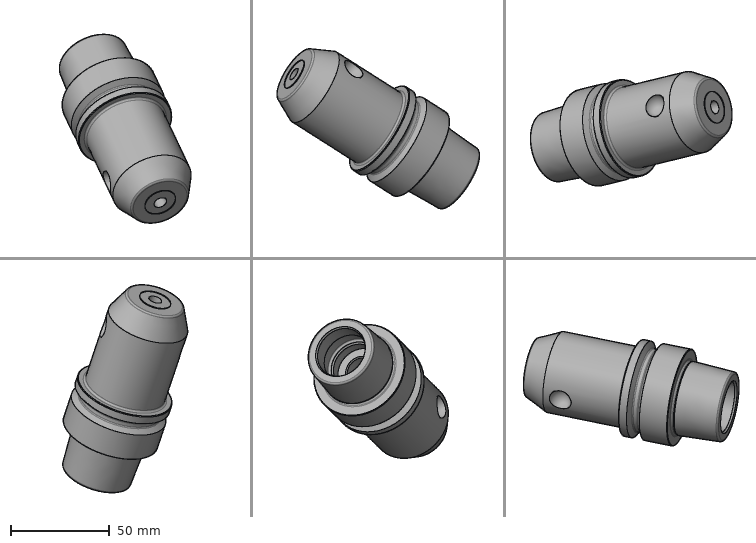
import cadquery as cq
import math

TOTAL_LENGTH = 104.9
FRONT_FACE_X = 104.5

TAPER_START_RADIUS = 18.0
TAPER_END_RADIUS = 19.2
TAPER_END_X = 22.9
TAPER_RIM_FILLET = 1.0
NECK_RADIUS = 18.7
NECK_START_X = 23.5
NECK_FILLET = 0.7
RELIEF_RADIUS = 20.1
RELIEF_DEPTH = 0.1

FLANGE_RADIUS = 50.0 / 2
FLANGE_START_X = 24.8
FLANGE_END_X = 50.8
FLANGE_START_CHAMFER = 0.3
FLANGE_END_CHAMFER = 0.4

GROOVE_FLOOR_RADIUS = 21.5
GROOVE_START_X = 39.5
GROOVE_END_X = 46.4
GROOVE_WALL_ANGLE = math.radians(60)
GROOVE_WALL_RUN = (FLANGE_RADIUS - GROOVE_FLOOR_RADIUS) / math.tan(GROOVE_WALL_ANGLE)
GROOVE_FLOOR_START_X = GROOVE_START_X + GROOVE_WALL_RUN
GROOVE_FLOOR_END_X = GROOVE_END_X - GROOVE_WALL_RUN
GROOVE_FILLET = 0.7

SHANK_RADIUS = 21.0
SHANK_FILLET = 1.0
NOSE_START_X = 92.1
NOSE_END_RADIUS = 15.2
NOSE_FILLET = 1.3

BORE_RADIUS = 13.0
BORE_END_X = 9.9
MOUTH_CHAMFER_LENGTH = 1.0
MOUTH_CHAMFER_WIDTH = 0.6
UNDERCUT_RADIUS = 14.5
UNDERCUT_END_X = 19.5
UNDERCUT_FILLET = 1.0

SEAT_RADIUS = 12.3
SEAT_CHAMFER = 0.8
SEAT_END_X = 26.2
TUBE_BORE_RADIUS = 7.5
TUBE_BORE_CHAMFER = 0.6
TUBE_BORE_END_X = 36.7
COOLANT_HOLE_RADIUS = 3.4

INSERT_RADIUS = 8.2
INSERT_START_X = 56.9

RECESS_X = 82.9
RECESS_RADIUS = 5.8

EDGE_SEARCH = 0.05


def revolve_about_x(profile):
    return profile.close().revolve(360, (0, 0, 0), (1, 0, 0))


def circle_edge(body, x, radius):
    """Select the largest circular edge at x that is no larger than the given radius."""
    reach = radius + EDGE_SEARCH
    zone = cq.selectors.BoxSelector(
        (x - EDGE_SEARCH, -reach, -reach),
        (x + EDGE_SEARCH, reach, reach),
        boundingbox=True,
    )
    return body.edges(zone).edges(cq.selectors.RadiusNthSelector(-1))


def make_outer_blank():
    return revolve_about_x(
        cq.Workplane("XZ")
        .moveTo(0, 0)
        .lineTo(0, TAPER_START_RADIUS)
        .lineTo(TAPER_END_X, TAPER_END_RADIUS)
        .lineTo(NECK_START_X, NECK_RADIUS)
        .lineTo(FLANGE_START_X + RELIEF_DEPTH, NECK_RADIUS)
        .lineTo(FLANGE_START_X, RELIEF_RADIUS)
        .lineTo(FLANGE_START_X, FLANGE_RADIUS)
        .lineTo(GROOVE_START_X, FLANGE_RADIUS)
        .lineTo(GROOVE_FLOOR_START_X, GROOVE_FLOOR_RADIUS)
        .lineTo(GROOVE_FLOOR_END_X, GROOVE_FLOOR_RADIUS)
        .lineTo(GROOVE_END_X, FLANGE_RADIUS)
        .lineTo(FLANGE_END_X, FLANGE_RADIUS)
        .lineTo(FLANGE_END_X, SHANK_RADIUS)
        .lineTo(NOSE_START_X, SHANK_RADIUS)
        .lineTo(FRONT_FACE_X, NOSE_END_RADIUS)
        .lineTo(FRONT_FACE_X, 0)
    )


def dress_edges(body):
    body = circle_edge(body, 0, TAPER_START_RADIUS).fillet(TAPER_RIM_FILLET)
    body = circle_edge(body, FLANGE_START_X + RELIEF_DEPTH, NECK_RADIUS).fillet(NECK_FILLET)
    body = circle_edge(body, FLANGE_START_X, FLANGE_RADIUS).chamfer(FLANGE_START_CHAMFER)
    for x in (GROOVE_FLOOR_START_X, GROOVE_FLOOR_END_X):
        body = circle_edge(body, x, GROOVE_FLOOR_RADIUS).fillet(GROOVE_FILLET)
    body = circle_edge(body, FLANGE_END_X, FLANGE_RADIUS).chamfer(FLANGE_END_CHAMFER)
    body = circle_edge(body, FLANGE_END_X, SHANK_RADIUS).fillet(SHANK_FILLET)
    return circle_edge(body, FRONT_FACE_X, NOSE_END_RADIUS).fillet(NOSE_FILLET)


def make_cavity():
    """The connected bores that run through the holder from the mouth to the front face."""
    return revolve_about_x(
        cq.Workplane("XZ")
        .moveTo(0, 0)
        .lineTo(0, BORE_RADIUS + MOUTH_CHAMFER_WIDTH)
        .lineTo(MOUTH_CHAMFER_LENGTH, BORE_RADIUS)
        .lineTo(BORE_END_X, BORE_RADIUS)
        .lineTo(BORE_END_X, UNDERCUT_RADIUS)
        .lineTo(UNDERCUT_END_X - UNDERCUT_FILLET, UNDERCUT_RADIUS)
        .radiusArc((UNDERCUT_END_X, UNDERCUT_RADIUS - UNDERCUT_FILLET), UNDERCUT_FILLET)
        .lineTo(UNDERCUT_END_X, SEAT_RADIUS + SEAT_CHAMFER)
        .lineTo(UNDERCUT_END_X + SEAT_CHAMFER, SEAT_RADIUS)
        .lineTo(SEAT_END_X, SEAT_RADIUS)
        .lineTo(SEAT_END_X, TUBE_BORE_RADIUS + TUBE_BORE_CHAMFER)
        .lineTo(SEAT_END_X + TUBE_BORE_CHAMFER, TUBE_BORE_RADIUS)
        .lineTo(TUBE_BORE_END_X, TUBE_BORE_RADIUS)
        .lineTo(TUBE_BORE_END_X, COOLANT_HOLE_RADIUS)
        .lineTo(INSERT_START_X, COOLANT_HOLE_RADIUS)
        .lineTo(INSERT_START_X, INSERT_RADIUS)
        .lineTo(FRONT_FACE_X, INSERT_RADIUS)
        .lineTo(FRONT_FACE_X, 0)
    )


def make_recess(side):
    """A ball centred on the shank surface; side is -1 or 1 along Y."""
    return cq.Workplane("XY").sphere(RECESS_RADIUS).translate((RECESS_X, side * SHANK_RADIUS, 0))


def make_holder():
    body = dress_edges(make_outer_blank()).cut(make_cavity())
    for side in (-1, 1):
        body = body.cut(make_recess(side))
    return body


def make_insert():
    """A sleeve that fills the front bore and stands slightly proud of the front face."""
    return (
        cq.Workplane("YZ", origin=(INSERT_START_X, 0, 0))
        .circle(INSERT_RADIUS)
        .circle(COOLANT_HOLE_RADIUS)
        .extrude(TOTAL_LENGTH - INSERT_START_X)
    )


holder = make_holder()
insert = make_insert()

result = cq.Compound.makeCompound([holder.val(), insert.val()])